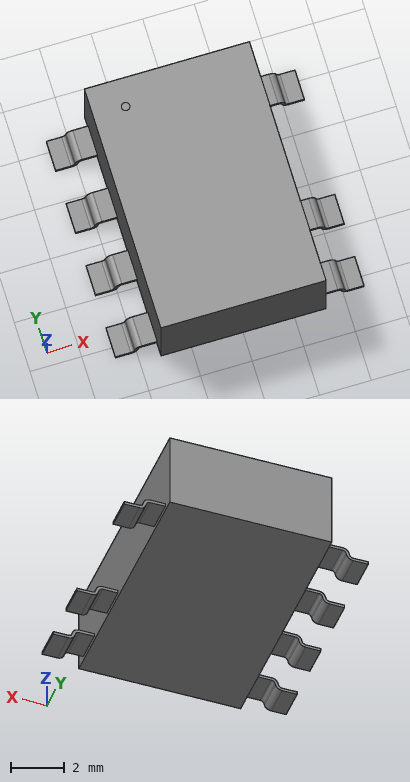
import cadquery as cq
import math

BODY_WIDTH = 6.4
BODY_LENGTH = 9.78
TOTAL_HEIGHT = 3.41
STANDOFF = 0.2
BODY_HEIGHT = TOTAL_HEIGHT - STANDOFF

LEAD_SPAN = 9.63
LEAD_WIDTH = 1.19
LEAD_THICKNESS = 0.13
LEAD_TOP = 0.52
SHOULDER_LENGTH = 0.6
INNER_BEND_RADIUS = 0.15
OUTER_BEND_RADIUS = INNER_BEND_RADIUS + LEAD_THICKNESS
BEND_ANGLE = 75.0

ROW_COUNT = 4
ROW_PITCH = 2.54
EMPTY_ROW = 2

MARKER_DIAMETER = 0.32
MARKER_DEPTH = 0.1
MARKER_SIDE_INSET = 1.26
MARKER_END_INSET = 1.11

FIRST_ROW_Y = ROW_PITCH * (ROW_COUNT - 1) / 2
ROW_YS = [FIRST_ROW_Y - ROW_PITCH * row for row in range(ROW_COUNT)]


def make_marker():
    """Disc whose top is level with the top of the body."""
    center_x = MARKER_SIDE_INSET - BODY_WIDTH / 2
    center_y = BODY_LENGTH / 2 - MARKER_END_INSET
    return (
        cq.Workplane("XY", origin=(center_x, center_y, TOTAL_HEIGHT))
        .circle(MARKER_DIAMETER / 2)
        .extrude(-MARKER_DEPTH)
    )


def make_body(marker):
    """Block with a recess that fits the marker."""
    block = cq.Workplane("XY", origin=(0, 0, STANDOFF)).box(
        BODY_WIDTH, BODY_LENGTH, BODY_HEIGHT, centered=(True, True, False)
    )
    return block.cut(marker)


def point_on_bend(center, radius, degrees):
    """Point at the given angle, counterclockwise from +X, around a bend center."""
    angle = math.radians(degrees)
    return (center[0] + radius * math.cos(angle), center[1] + radius * math.sin(angle))


def make_right_lead(row_y):
    """Lead on the +X side: flat shoulder, S-bend with a steep straight leg, flat foot."""
    wall_x = BODY_WIDTH / 2
    tip_x = LEAD_SPAN / 2
    angle = math.radians(BEND_ANGLE)

    radius_sum = INNER_BEND_RADIUS + OUTER_BEND_RADIUS
    leg_height = LEAD_TOP - LEAD_THICKNESS - radius_sum * (1 - math.cos(angle))
    bends_run = radius_sum * math.sin(angle) + leg_height / math.tan(angle)

    upper = (wall_x + SHOULDER_LENGTH, LEAD_TOP - OUTER_BEND_RADIUS)
    lower = (upper[0] + bends_run, OUTER_BEND_RADIUS)

    upper_end = 90 - BEND_ANGLE
    upper_middle = 90 - BEND_ANGLE / 2
    lower_start = 270 - BEND_ANGLE
    lower_middle = 270 - BEND_ANGLE / 2

    profile = (
        cq.Workplane("XZ", origin=(0, row_y, 0))
        .moveTo(wall_x, LEAD_TOP)
        .lineTo(upper[0], LEAD_TOP)
        .threePointArc(
            point_on_bend(upper, OUTER_BEND_RADIUS, upper_middle),
            point_on_bend(upper, OUTER_BEND_RADIUS, upper_end),
        )
        .lineTo(*point_on_bend(lower, INNER_BEND_RADIUS, lower_start))
        .threePointArc(
            point_on_bend(lower, INNER_BEND_RADIUS, lower_middle),
            (lower[0], LEAD_THICKNESS),
        )
        .lineTo(tip_x, LEAD_THICKNESS)
        .lineTo(tip_x, 0)
        .lineTo(lower[0], 0)
        .threePointArc(
            point_on_bend(lower, OUTER_BEND_RADIUS, lower_middle),
            point_on_bend(lower, OUTER_BEND_RADIUS, lower_start),
        )
        .lineTo(*point_on_bend(upper, INNER_BEND_RADIUS, upper_end))
        .threePointArc(
            point_on_bend(upper, INNER_BEND_RADIUS, upper_middle),
            (upper[0], LEAD_TOP - LEAD_THICKNESS),
        )
        .lineTo(wall_x, LEAD_TOP - LEAD_THICKNESS)
        .close()
    )
    return profile.extrude(LEAD_WIDTH / 2, both=True)


def make_left_lead(row_y):
    """Mirror image of the +X lead in the same row."""
    return make_right_lead(row_y).mirror("YZ")


marker = make_marker()
body = make_body(marker)

leads = []
for row_number, row_y in enumerate(ROW_YS, start=1):
    leads.append(make_left_lead(row_y))
    if row_number != EMPTY_ROW:
        leads.append(make_right_lead(row_y))

result = cq.Compound.makeCompound([body.val(), marker.val(), *[lead.val() for lead in leads]])